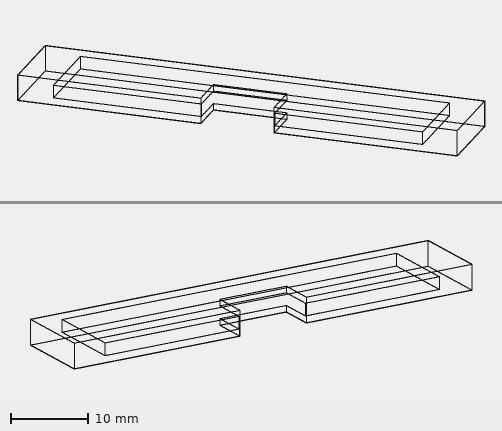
import cadquery as cq

length = 60.0
width = 11.0
height = 3.55

notch_length = 10.0
notch_depth = 5.05

skin_thickness = 0.9
front_wall = 0.25
end_wall = 4.8
pocket_length = length - 2 * end_wall
pocket_depth = width - front_wall
pocket_height = height - 2 * skin_thickness


def make_bar():
    return cq.Workplane("XY").box(length, width, height)


def make_notch():
    notch = cq.Workplane("XY").box(notch_length, notch_depth, height)
    return notch.translate((0, (notch_depth - width) / 2, 0))


def make_pocket():
    pocket = cq.Workplane("XY").box(pocket_length, pocket_depth, pocket_height)
    return pocket.translate((0, front_wall / 2, 0))


result = make_bar().cut(make_notch()).cut(make_pocket())